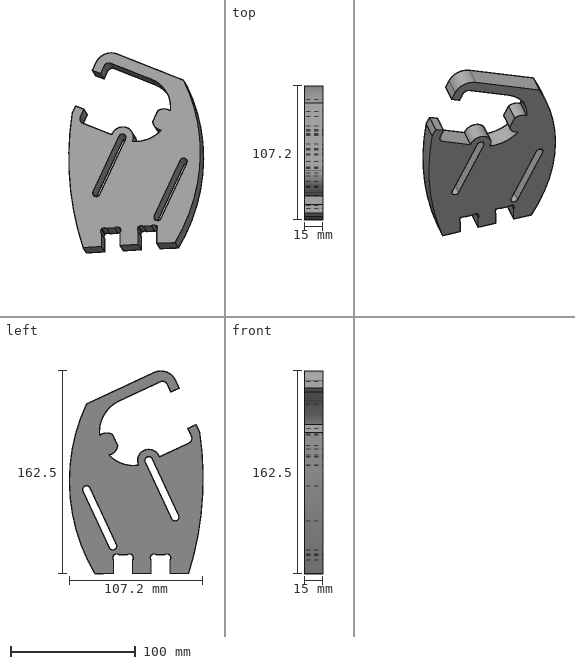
import cadquery as cq
import math

THICKNESS = 15.0
CUT_DEPTH = 2 * THICKNESS

FOOT_PITCH = 15.0
BASE_HALF_WIDTH = 2.5 * FOOT_PITCH
NOTCH_HEIGHT = 15.0
RELIEF_RADIUS = 3.0
RELIEF_INSET = 2.4
HEEL_DROP = 0.3

LEFT_BULGE = (-58.05, 75.0)
RIGHT_BULGE = (49.15, 75.0)

TILT = 25.0
CAVITY_CENTER = (-6.77, 113.56)
CAVITY_RADIUS = 27.0
CAVITY_LENGTH = 40.5
CAVITY_CORNER_RADIUS = 4.0
MOUTH_HALF_WIDTH = 16.0

ARM_THICKNESS = 9.0
END_WALL = 7.5
ARM_CORNER_RADIUS = CAVITY_CORNER_RADIUS + ARM_THICKNESS
LEFT_SHOULDER_ALONG = -24.65
RIGHT_SHOULDER_OVER = -22.9
ARM_OVER = CAVITY_RADIUS + ARM_THICKNESS
END_ALONG = CAVITY_LENGTH + END_WALL

BOSS_RADIUS = 9.0
STOP_BOSS_ALONG = -23.5
STOP_FACE_ALONG = -16.0

SLOT_WIDTH = 6.0
SLOT_TRAVEL = 50.0
SLOT_TOP_OVER = -26.1
SLOT_ALONG = 1.4
SLOT_PITCH = 55.0


def tilted(along, over):
    """Profile point for a position in the cavity frame."""
    angle = math.radians(TILT)
    across = CAVITY_CENTER[0] + along * math.cos(angle) - over * math.sin(angle)
    up = CAVITY_CENTER[1] + along * math.sin(angle) + over * math.cos(angle)
    return (across, up)


def profile_plane():
    return cq.Workplane(cq.Plane(origin=(0, 0, 0), xDir=(0, -1, 0), normal=(-1, 0, 0)))


def cavity_plane():
    return profile_plane().center(*CAVITY_CENTER).transformed(rotate=(0, 0, TILT))


def tilted_box(along_start, along_end, over_start, over_end, depth):
    middle = ((along_start + along_end) / 2, (over_start + over_end) / 2)
    size = (along_end - along_start, over_end - over_start)
    return cavity_plane().center(*middle).rect(*size).extrude(depth / 2, both=True)


def tilted_disc(along, over, radius, depth):
    return cavity_plane().center(along, over).circle(radius).extrude(depth / 2, both=True)


def body():
    """Outer outline with the cavity and notches still filled in."""
    corner_along = END_ALONG - ARM_CORNER_RADIUS
    corner_over = ARM_OVER - ARM_CORNER_RADIUS
    corner_reach = ARM_CORNER_RADIUS * math.sqrt(0.5)
    left_heel = (-BASE_HALF_WIDTH, -HEEL_DROP)
    return (
        profile_plane()
        .moveTo(*left_heel)
        .lineTo(-BASE_HALF_WIDTH + FOOT_PITCH, 0)
        .lineTo(BASE_HALF_WIDTH, 0)
        .threePointArc(RIGHT_BULGE, tilted(END_ALONG, RIGHT_SHOULDER_OVER))
        .lineTo(*tilted(END_ALONG, corner_over))
        .threePointArc(
            tilted(corner_along + corner_reach, corner_over + corner_reach),
            tilted(corner_along, ARM_OVER),
        )
        .lineTo(*tilted(LEFT_SHOULDER_ALONG, ARM_OVER))
        .threePointArc(LEFT_BULGE, left_heel)
        .close()
        .extrude(THICKNESS / 2, both=True)
    )


def cavity():
    """Round-ended pocket with filleted far corners and an open mouth."""
    box = tilted_box(-CAVITY_RADIUS, CAVITY_LENGTH, -CAVITY_RADIUS, CAVITY_RADIUS, CUT_DEPTH)
    far_half = tilted_box(0, CAVITY_LENGTH, -CAVITY_RADIUS, CAVITY_RADIUS, CUT_DEPTH)
    box = box.edges("|X").fillet(CAVITY_CORNER_RADIUS).intersect(far_half)
    round_end = tilted_disc(0, 0, CAVITY_RADIUS, CUT_DEPTH)
    mouth = tilted_box(0, END_ALONG + END_WALL, -MOUTH_HALF_WIDTH, MOUTH_HALF_WIDTH, CUT_DEPTH)
    return box.union(round_end).union(mouth)


def stop_boss():
    """Round boss at the closed end of the cavity, with a flat facing the mouth."""
    disc = tilted_disc(STOP_BOSS_ALONG, 0, BOSS_RADIUS, THICKNESS)
    flat_cut = tilted_box(STOP_FACE_ALONG, 0, -BOSS_RADIUS, BOSS_RADIUS, CUT_DEPTH)
    return disc.cut(flat_cut)


def slot_boss():
    """Round boss around the upper end of the slot that reaches the cavity."""
    return tilted_disc(SLOT_ALONG, SLOT_TOP_OVER, BOSS_RADIUS, THICKNESS)


def slot(along):
    return (
        cavity_plane()
        .center(along, SLOT_TOP_OVER - SLOT_TRAVEL / 2)
        .slot2D(SLOT_TRAVEL + SLOT_WIDTH, SLOT_WIDTH, 90)
        .extrude(CUT_DEPTH / 2, both=True)
    )


def notch(across):
    """Notch open at the bottom, with round reliefs in its two upper corners."""
    relief_offset = FOOT_PITCH / 2 - RELIEF_INSET
    relief_up = NOTCH_HEIGHT - RELIEF_INSET
    opening = (
        profile_plane()
        .center(across, 0)
        .rect(FOOT_PITCH, 2 * NOTCH_HEIGHT)
        .extrude(CUT_DEPTH / 2, both=True)
    )
    reliefs = (
        profile_plane()
        .pushPoints([(across - relief_offset, relief_up), (across + relief_offset, relief_up)])
        .circle(RELIEF_RADIUS)
        .extrude(CUT_DEPTH / 2, both=True)
    )
    return opening.union(reliefs)


result = body().cut(cavity()).union(stop_boss()).union(slot_boss())
for slot_along in (SLOT_ALONG, SLOT_ALONG - SLOT_PITCH):
    result = result.cut(slot(slot_along))
for notch_across in (-FOOT_PITCH, FOOT_PITCH):
    result = result.cut(notch(notch_across))